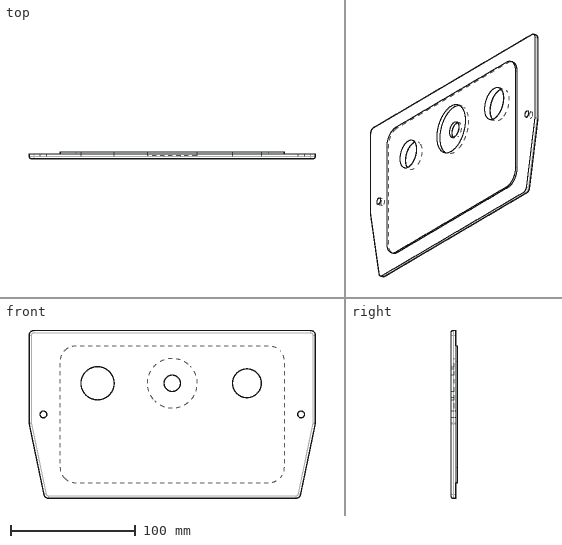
import cadquery as cq

plate_width = 230.0
plate_height = 135.0
plate_thickness = 4.0
taper_height = 60.0
taper_inset = 12.5
corner_radius = 4.0
edge_radius = 2.0

pad_margin = 12.5
pad_width = 180.0
pad_height = plate_height - 2 * pad_margin
pad_thickness = 1.5
pad_corner_radius = 12.5

control_height = 25.0
control_spacing = 60.0
left_control_diameter = 26.5
middle_control_diameter = 13.0
right_control_diameter = 23.0
middle_wall_thickness = 2.5
middle_recess_diameter = 40.0
screw_diameter = 5.3
screw_offset = 103.5

total_thickness = plate_thickness + pad_thickness
middle_recess_depth = total_thickness - middle_wall_thickness


def make_plate():
    """Plate with straight upper sides, tapered lower sides and a rounded front edge."""
    half_width = plate_width / 2
    half_height = plate_height / 2
    bottom_half_width = half_width - taper_inset
    bend_z = taper_height - half_height
    outline = [
        (-half_width, half_height),
        (half_width, half_height),
        (half_width, bend_z),
        (bottom_half_width, -half_height),
        (-bottom_half_width, -half_height),
        (-half_width, bend_z),
    ]
    plate = cq.Workplane("XZ").polyline(outline).close().extrude(plate_thickness)
    plate = plate.edges("|Y").fillet(corner_radius)
    return plate.faces("<Y").edges().fillet(edge_radius)


def make_pad():
    """Rounded rectangular pad standing on the back of the plate."""
    pad = cq.Workplane("XZ").rect(pad_width, pad_height).extrude(-pad_thickness)
    return pad.edges("|Y").fillet(pad_corner_radius)


def make_hole(x, z, diameter, depth=total_thickness):
    """Cylinder reaching from the back of the pad towards the front; by default all the way through."""
    hole = cq.Workplane("XZ", origin=(0, pad_thickness, 0)).center(x, z)
    return hole.circle(diameter / 2).extrude(depth)


holes = [
    (-control_spacing, control_height, left_control_diameter),
    (0, control_height, middle_control_diameter),
    (control_spacing, control_height, right_control_diameter),
    (-screw_offset, 0, screw_diameter),
    (screw_offset, 0, screw_diameter),
]

result = make_plate().union(make_pad())
for hole_x, hole_z, hole_diameter in holes:
    result = result.cut(make_hole(hole_x, hole_z, hole_diameter))

middle_recess = make_hole(0, control_height, middle_recess_diameter, middle_recess_depth)
result = result.cut(middle_recess)